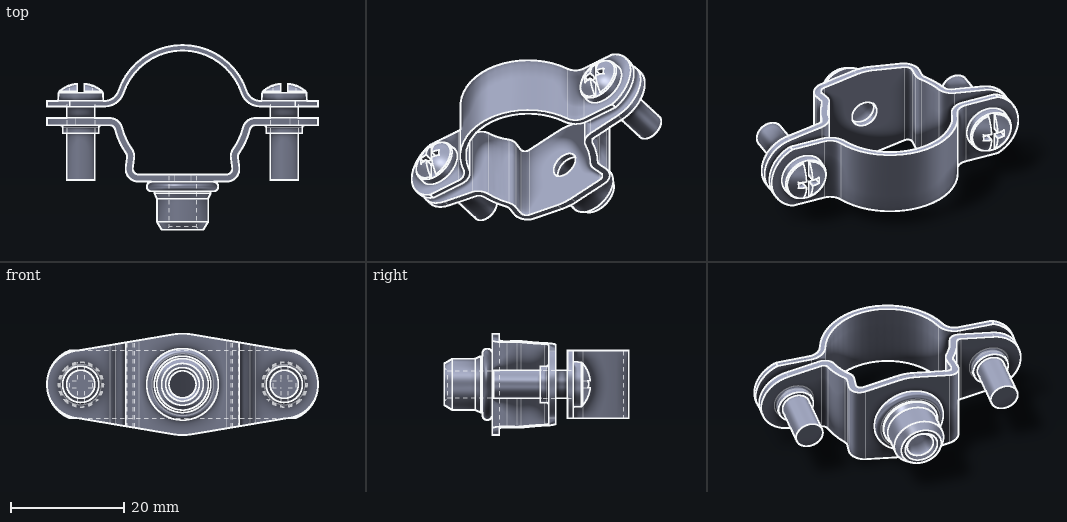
import cadquery as cq
import math


half_length = 24.0
flange_end_radius = 6.0
screw_x = half_length - flange_end_radius
tolerance = 0.0005
pipe_radius = 11.0

upper_thickness = 1.0
upper_flange_bottom = 1.1
upper_flange_top = upper_flange_bottom + upper_thickness
upper_half_height = 6.0
upper_end_radius = 6.5
upper_bend_radius = 2.5

lower_thickness = 1.3
lower_flange_top = -0.9
lower_flange_bottom = lower_flange_top - lower_thickness
lower_bend_radius = 1.0
plate_bottom = -12.2
corner_x = 7.8
neck_angle = 54.5
middle_height = 18.0
middle_radius = middle_height / 2
collar_radius = 3.2
collar_height = 1.45
collar_fillet = 0.4

shank_radius = 2.5
shank_length = 14.0
head_base_radius = 4.05
head_radius = 3.95
head_side_height = 1.45
dome_edge_radius = 3.75
dome_edge_height = 1.75
head_height = 3.1
slot_width = 1.2
slot_depth = 1.7
cross_arm_length = 2.0

nut_length = 8.5
bead_radius = 0.85
bead_ring_radius = 5.45
shoulder_radius = 5.0
shoulder_length = 0.3
taper_length = 1.0
nut_radius = 4.55
nose_radius = 3.7
nose_length = 1.45
bore_radius = 2.4
mouth_radius = 3.0


def polar(centre, radius, angle):
    """Point on a circle, with the angle in degrees."""
    a = math.radians(angle)
    return centre[0] + radius * math.cos(a), centre[1] + radius * math.sin(a)


def mirrored(bend):
    """The same bend on the other side of the Y axis, walked in the same direction along X."""
    centre, radius, start, end = bend
    return (-centre[0], centre[1]), radius, 180 - end, 180 - start


def bent_strip(bends, flange_y, thickness):
    """Strip of constant thickness along X, with a flat flange at both ends.

    Each bend is (centre, mid-thickness radius, start angle, end angle), from -X to +X.
    """
    def side(offset):
        arcs = []
        for centre, radius, start, end in bends:
            r = radius - offset if end > start else radius + offset
            arcs.append([polar(centre, r, a) for a in (start, (start + end) / 2, end)])
        return arcs

    def follow(outline, arcs):
        for start, middle, end in arcs:
            if math.dist(outline.val().endPoint().toTuple()[:2], start) > tolerance:
                outline = outline.lineTo(*start)
            outline = outline.threePointArc(middle, end)
        return outline

    top = flange_y + thickness / 2
    bottom = flange_y - thickness / 2
    top_arcs = side(thickness / 2)
    bottom_arcs = [arc[::-1] for arc in reversed(side(-thickness / 2))]

    outline = cq.Workplane("XY").moveTo(-half_length, bottom).lineTo(-half_length, top)
    outline = follow(outline, top_arcs).lineTo(half_length, top).lineTo(half_length, bottom)
    outline = follow(outline, bottom_arcs).close()
    return outline.extrude(middle_radius, both=True)


def y_cylinder(x, radius, y_low, y_high):
    """Cylinder along Y, centred on Z = 0."""
    return cq.Workplane("XZ", origin=(x, y_high, 0)).circle(radius).extrude(y_high - y_low)


def flange_bend_centre(ring_distance, y):
    """Centre at height y (+X side) of a bend that is tangent to the pipe arc."""
    return math.sqrt(ring_distance ** 2 - y ** 2), y


def upper_face_block():
    """Face shape of the upper strap: straight sides and two rounded ends."""
    side_x = half_length - upper_end_radius + math.sqrt(upper_end_radius ** 2 - upper_half_height ** 2)
    return (
        cq.Workplane("XZ", origin=(0, half_length, 0))
        .moveTo(-side_x, upper_half_height)
        .lineTo(side_x, upper_half_height)
        .threePointArc((half_length, 0), (side_x, -upper_half_height))
        .lineTo(-side_x, -upper_half_height)
        .threePointArc((-half_length, 0), (-side_x, upper_half_height))
        .close()
        .extrude(2 * half_length)
    )


def make_upper_strap():
    half = upper_thickness / 2
    ring = pipe_radius + half
    bend = upper_bend_radius + half
    centre = flange_bend_centre(ring + bend, upper_flange_top + upper_bend_radius)
    tangent = math.degrees(math.atan2(centre[1], centre[0]))

    pipe_arc = ((0, 0), ring, 180 - tangent, tangent)
    flange_bend = (centre, bend, tangent + 180, 270)
    bends = [mirrored(flange_bend), pipe_arc, flange_bend]
    strap = bent_strip(bends, upper_flange_bottom + half, upper_thickness)

    strap = strap.intersect(upper_face_block())
    for x in (-screw_x, screw_x):
        strap = strap.cut(y_cylinder(x, shank_radius, upper_flange_bottom, upper_flange_top))
    return strap


def lower_face_block():
    """Face shape of the lower strap: a large middle circle joined by tangents to two end circles."""
    lean = math.degrees(math.asin((middle_radius - flange_end_radius) / screw_x))
    right_end = (screw_x, 0)
    left_end = (-screw_x, 0)
    return (
        cq.Workplane("XZ", origin=(0, half_length, 0))
        .moveTo(*polar((0, 0), middle_radius, 90 + lean))
        .threePointArc((0, middle_radius), polar((0, 0), middle_radius, 90 - lean))
        .lineTo(*polar(right_end, flange_end_radius, 90 - lean))
        .threePointArc((half_length, 0), polar(right_end, flange_end_radius, lean - 90))
        .lineTo(*polar((0, 0), middle_radius, lean - 90))
        .threePointArc((0, -middle_radius), polar((0, 0), middle_radius, -90 - lean))
        .lineTo(*polar(left_end, flange_end_radius, -90 - lean))
        .threePointArc((-half_length, 0), polar(left_end, flange_end_radius, 90 + lean))
        .close()
        .extrude(2 * half_length)
    )


def collar(x):
    """Round collar below a flange, with a fillet at its root."""
    root = collar_radius + collar_fillet
    fillet_middle = polar((root, -collar_fillet), collar_fillet, 135)
    profile = (
        cq.Workplane("XY")
        .lineTo(root, 0)
        .threePointArc(fillet_middle, (collar_radius, -collar_fillet))
        .lineTo(collar_radius, -collar_height)
        .lineTo(0, -collar_height)
        .close()
    )
    return profile.revolve(360, (0, 0), (0, 1)).translate((x, lower_flange_bottom, 0))


def make_lower_strap():
    half = lower_thickness / 2
    ring = pipe_radius + half
    bend = lower_bend_radius + half
    plate_top = plate_bottom + lower_thickness

    corner = (corner_x, plate_top + lower_bend_radius)
    neck = polar((0, 0), ring + bend, neck_angle - 90)
    flange = flange_bend_centre(ring + bend, lower_flange_bottom - lower_bend_radius)
    flange_tangent = math.degrees(math.atan2(flange[1], flange[0]))

    dx = neck[0] - corner[0]
    dy = neck[1] - corner[1]
    neck_direction = math.degrees(math.atan2(dy, dx) + math.asin(2 * bend / math.hypot(dx, dy)))

    right_bends = [
        (corner, bend, -90, neck_direction - 90),
        (neck, bend, neck_direction + 90, neck_angle + 90),
        ((0, 0), ring, neck_angle - 90, flange_tangent),
        (flange, bend, flange_tangent + 180, 90),
    ]
    left_bends = [mirrored(b) for b in reversed(right_bends)]
    strap = bent_strip(left_bends + right_bends, lower_flange_bottom + half, lower_thickness)
    strap = strap.intersect(lower_face_block())

    strap = strap.cut(y_cylinder(0, bore_radius, plate_bottom, plate_top))
    for x in (-screw_x, screw_x):
        strap = strap.union(collar(x))
        strap = strap.cut(y_cylinder(x, shank_radius, lower_flange_bottom - collar_height, lower_flange_top))
    return strap


def make_screw(x):
    """Dome-headed screw along -Y with a through slot along Z and a short cross recess along X."""
    dome_height = head_height - dome_edge_height
    sphere_radius = (dome_edge_radius ** 2 + dome_height ** 2) / (2 * dome_height)
    sphere_centre = (0, head_height - sphere_radius)
    edge_angle = math.degrees(math.acos(dome_edge_radius / sphere_radius))
    dome_middle = polar(sphere_centre, sphere_radius, (edge_angle + 90) / 2)

    screw = (
        cq.Workplane("XY")
        .moveTo(0, -shank_length)
        .lineTo(shank_radius, -shank_length)
        .lineTo(shank_radius, 0)
        .lineTo(head_base_radius, 0)
        .lineTo(head_radius, head_side_height)
        .lineTo(dome_edge_radius, dome_edge_height)
        .threePointArc(dome_middle, (0, head_height))
        .close()
        .revolve(360, (0, 0), (0, 1))
    )
    recess = cq.Workplane("XZ", origin=(0, head_height, 0))
    screw = screw.cut(recess.rect(slot_width, 2 * head_base_radius).extrude(slot_depth))
    screw = screw.cut(recess.rect(2 * cross_arm_length, slot_width).extrude(slot_depth))
    return screw.translate((x, upper_flange_top, 0))


def make_nut():
    """Round nut below the plate, with a bead against the plate and a countersunk through bore."""
    bead_bottom = -2 * bead_radius
    taper_top = bead_bottom - shoulder_length
    taper_bottom = taper_top - taper_length
    mouth_depth = mouth_radius - bore_radius
    nut = (
        cq.Workplane("XY")
        .moveTo(bore_radius, 0)
        .lineTo(bead_ring_radius, 0)
        .threePointArc((bead_ring_radius + bead_radius, -bead_radius), (bead_ring_radius, bead_bottom))
        .lineTo(shoulder_radius, bead_bottom)
        .lineTo(shoulder_radius, taper_top)
        .lineTo(nut_radius, taper_bottom)
        .lineTo(nut_radius, nose_length - nut_length)
        .lineTo(nose_radius, -nut_length)
        .lineTo(mouth_radius, -nut_length)
        .lineTo(bore_radius, mouth_depth - nut_length)
        .close()
        .revolve(360, (0, 0), (0, 1))
    )
    return nut.translate((0, plate_bottom, 0))


upper_strap = make_upper_strap()
lower_strap = make_lower_strap()
screws = [make_screw(x) for x in (-screw_x, screw_x)]
nut = make_nut()

result = cq.Compound.makeCompound(
    [upper_strap.val(), lower_strap.val(), *[screw.val() for screw in screws], nut.val()]
)